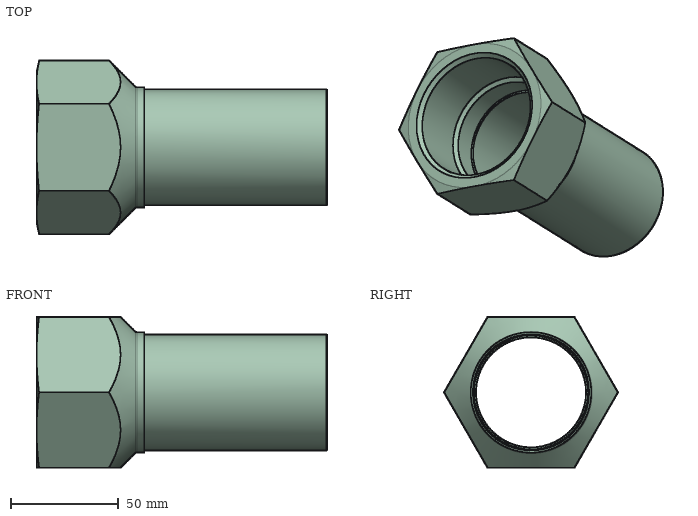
import math

import cadquery as cq

total_length = 135.0

hex_across_flats = 70.0
hex_corner_radius = hex_across_flats / math.sqrt(3)
front_bevel_angle = 12.0
shoulder_start = 39.0

collar_radius = 56.0 / 2
collar_end = 50.0
shoulder_end = shoulder_start + hex_across_flats / 2 - collar_radius
shoulder_fillet = 1.0
tube_radius = 54.0 / 2
tube_end_radius = 53.0 / 2
tube_end_bevel = tube_radius - tube_end_radius

thread_bore_radius = 57.15 / 2
mouth_radius = 61.0 / 2
mouth_depth = mouth_radius - thread_bore_radius
thread_bore_depth = 32.0
socket_bore_radius = 53.0 / 2
seat_point_angle = 118.0
seat_length = (thread_bore_radius - socket_bore_radius) / math.tan(math.radians(seat_point_angle / 2))
seat_end = thread_bore_depth + seat_length
tube_bore_radius = 51.0 / 2


def revolve_about_x(profile):
    """Turn a list of (x, radius) points into a solid of revolution about the X axis."""
    return cq.Workplane("XY").polyline(profile).close().revolve(360, (0, 0, 0), (1, 0, 0))


def make_hex_socket():
    """Hexagon with corners on +Y and -Y, trimmed by a front bevel and a rear shoulder cone."""
    hexagon = cq.Workplane("YZ").polygon(6, 2 * hex_corner_radius).extrude(shoulder_end)
    corner_height = hex_corner_radius - hex_across_flats / 2
    bevel_length = corner_height * math.tan(math.radians(front_bevel_angle))
    envelope = revolve_about_x([
        (0, 0),
        (0, hex_across_flats / 2),
        (bevel_length, hex_corner_radius),
        (shoulder_start - corner_height, hex_corner_radius),
        (shoulder_end, collar_radius),
        (shoulder_end, 0),
    ])
    return hexagon.intersect(envelope)


def make_collar_and_tube():
    """Short collar behind the socket, followed by the plain tube with a bevelled end."""
    return revolve_about_x([
        (shoulder_end, 0),
        (shoulder_end, collar_radius),
        (collar_end, collar_radius),
        (collar_end, tube_radius),
        (total_length - tube_end_bevel, tube_radius),
        (total_length, tube_end_radius),
        (total_length, 0),
    ])


def fillet_shoulder(solid):
    """Round the inside corner between the shoulder cone and the collar."""
    selection_margin = 0.1
    reach = collar_radius + selection_margin
    corner_edge = cq.selectors.BoxSelector(
        (shoulder_end - selection_margin, -reach, -reach),
        (shoulder_end + selection_margin, reach, reach),
        boundingbox=True,
    )
    return solid.edges(corner_edge).fillet(shoulder_fillet)


def make_bore():
    """Countersunk thread bore, conical seat, socket bore and the narrower tube bore."""
    return revolve_about_x([
        (0, 0),
        (0, mouth_radius),
        (mouth_depth, thread_bore_radius),
        (thread_bore_depth, thread_bore_radius),
        (seat_end, socket_bore_radius),
        (shoulder_end, socket_bore_radius),
        (shoulder_end, tube_bore_radius),
        (total_length, tube_bore_radius),
        (total_length, 0),
    ])


body = make_hex_socket().union(make_collar_and_tube())
result = fillet_shoulder(body).cut(make_bore())